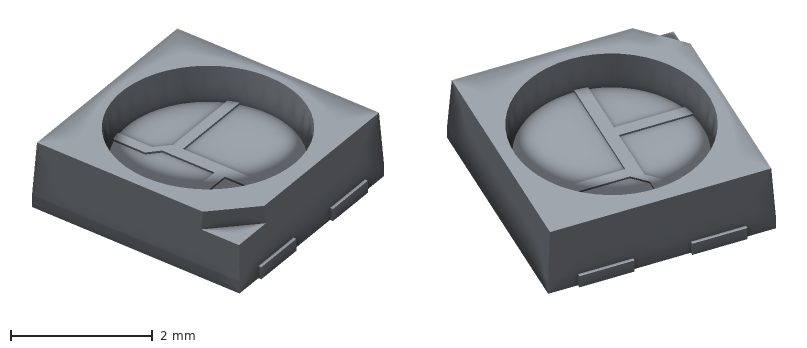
import cadquery as cq

body_x = 3.6
body_y = 3.5
total_height = 1.11
base_height = 0.21
housing_height = total_height - base_height
top_narrowing = 0.1
taper_inset = top_narrowing / 2

terminal_span_x = 3.7
terminal_width = 0.847
terminal_gap = 0.888
terminal_offset_y = (terminal_gap + terminal_width) / 2

bowl_top_diameter = 2.997
bowl_floor_diameter = 2.805
bowl_depth = 0.555
bowl_floor_z = total_height - bowl_depth

separator_height = 0.035
post_left, post_right = -0.58, -0.41
leg_left, leg_right = 0.285, 0.462
bar_top, bar_bottom = -0.035, -0.235
arm_top, arm_bottom = -0.248, -0.415
arm_bend_x = -0.79
arm_rejoin_x = -0.625

notch_leg = 0.62
notch_depth = 0.305


def make_body():
    base = cq.Workplane("XY").box(body_x, body_y, base_height, centered=(True, True, False))
    housing = (
        cq.Workplane("XY", origin=(0, 0, base_height))
        .rect(body_x, body_y)
        .workplane(offset=housing_height)
        .rect(body_x - top_narrowing, body_y - top_narrowing)
        .loft(ruled=True)
    )
    return base.union(housing)


def make_terminals():
    """Two bars across the base whose ends stand out as four terminals."""
    return (
        cq.Workplane("XY")
        .pushPoints([(0, -terminal_offset_y), (0, terminal_offset_y)])
        .rect(terminal_span_x, terminal_width)
        .extrude(base_height)
    )


def make_bowl():
    return (
        cq.Workplane("XY", origin=(0, 0, bowl_floor_z))
        .circle(bowl_floor_diameter / 2)
        .workplane(offset=bowl_depth)
        .circle(bowl_top_diameter / 2)
        .loft(ruled=True)
    )


def make_separators(bowl):
    """Branching raised strip, trimmed to the bowl wall."""
    reach = bowl_top_diameter / 2
    outline = [
        (post_left, reach),
        (post_right, reach),
        (post_right, bar_top),
        (reach, bar_top),
        (reach, bar_bottom),
        (leg_right, bar_bottom),
        (leg_right, -reach),
        (leg_left, -reach),
        (leg_left, bar_bottom),
        (arm_rejoin_x, bar_bottom),
        (arm_bend_x, arm_bottom),
        (-reach, arm_bottom),
        (-reach, arm_top),
        (arm_bend_x, arm_top),
        (post_left, bar_top),
    ]
    strips = (
        cq.Workplane("XY", origin=(0, 0, bowl_floor_z))
        .polyline(outline)
        .close()
        .extrude(separator_height)
    )
    return strips.intersect(bowl)


def make_corner_notch():
    """Triangular prism over the corner; it overshoots the tapered sides."""
    corner_x = body_x / 2 - taper_inset
    corner_y = -body_y / 2 + taper_inset
    overshoot = top_narrowing
    outer_x = corner_x + overshoot
    outer_y = corner_y - overshoot
    cut_leg = notch_leg + 2 * overshoot
    return (
        cq.Workplane("XY", origin=(0, 0, total_height - notch_depth))
        .polyline([(outer_x, outer_y), (outer_x, outer_y + cut_leg), (outer_x - cut_leg, outer_y)])
        .close()
        .extrude(notch_depth)
    )


bowl = make_bowl()
result = (
    make_body()
    .union(make_terminals())
    .cut(bowl)
    .union(make_separators(bowl))
    .cut(make_corner_notch())
)